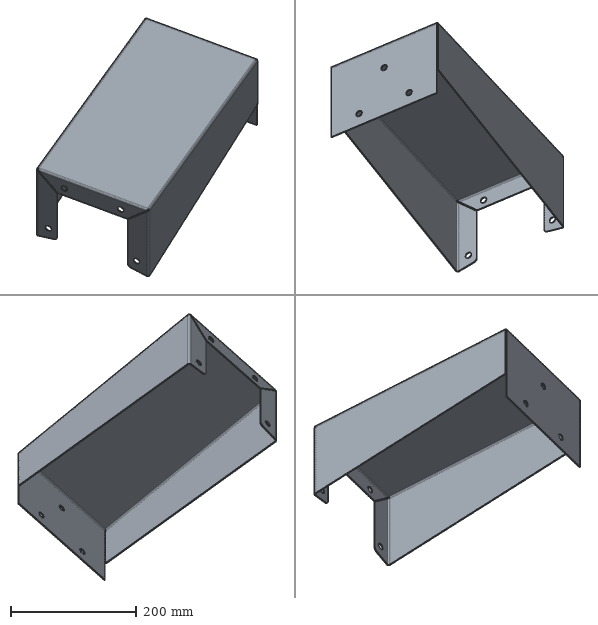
import cadquery as cq
import math

WIDTH = 203.0
LENGTH = 381.0
HEIGHT = 152.5
SHEET = 2.0
BEND_OUTER = 4.0
BEND_INNER = BEND_OUTER - SHEET
HALF_WIDTH = WIDTH / 2
FRONT = -LENGTH / 2
BACK = LENGTH / 2

WALL_END = BACK - 2.3
WALL_BACK_RISE = 50.5
BACK_PLATE_HALF_WIDTH = HALF_WIDTH - 2.1

FLANGE = 38.0
FLANGE_END_ANGLE = 11.0
FLANGE_CORNER_RADIUS = 7.5
MITER_GAP = 2.0

HOLE_DIAMETER = 11.0
LOW_HOLE_Z = 25.5
FLANGE_HOLES = [(-50.5, 130.3), (50.5, 130.3), (-79.2, LOW_HOLE_Z), (79.2, LOW_HOLE_Z)]
BACK_HOLES = [(-47.2, LOW_HOLE_Z), (47.2, LOW_HOLE_Z), (0, 101.7)]

MARGIN = 4.0


def box_between(x, y, z):
    """Box spanning the given (low, high) ranges."""
    size = [high - low for low, high in (x, y, z)]
    return cq.Workplane("XY").box(*size, centered=False).translate((x[0], y[0], z[0]))


def rounded_block(inset, radius):
    """Hood volume inset from the outside, open downward, with rounded bends."""
    half = HALF_WIDTH - inset
    bottom = -MARGIN if inset else 0
    block = box_between((-half, half), (FRONT + inset, BACK - inset), (bottom, HEIGHT - inset))
    return block.edges("(|Z and <Y) or >Z").fillet(radius)


def front_prism(points):
    """Prism with an XZ outline, reaching inward from ahead of the front face."""
    outline = cq.Workplane("XZ", origin=(0, FRONT - MARGIN, 0)).polyline(points).close()
    return outline.extrude(-(BEND_OUTER + MARGIN))


def front_opening():
    """Space between the front flanges, including their sloped lower ends."""
    inner = HALF_WIDTH - FLANGE
    bend_line = HALF_WIDTH - BEND_OUTER
    rise = (bend_line - inner) * math.tan(math.radians(FLANGE_END_ANGLE))
    top = HEIGHT - FLANGE
    tool = front_prism([
        (-bend_line, 0), (-inner, rise), (-inner, top),
        (inner, top), (inner, rise), (bend_line, 0),
    ])
    corners = cq.selectors.BoxSelector(
        (-inner - MARGIN, FRONT - 2 * MARGIN, rise - MARGIN / 2),
        (inner + MARGIN, FRONT + 2 * MARGIN, rise + MARGIN / 2),
    )
    return tool.edges("|Y").edges(corners).fillet(FLANGE_CORNER_RADIUS)


def miter_slit(side):
    """45 degree slit between the top flange and one side flange, open at the corner."""
    half_gap = MITER_GAP / math.sqrt(2)
    outer = HALF_WIDTH + MARGIN
    inner = HALF_WIDTH - FLANGE - MARGIN
    outer_z = HEIGHT + MARGIN
    inner_z = HEIGHT - FLANGE - MARGIN
    return front_prism([
        (side * outer, outer_z - half_gap), (side * outer, outer_z + half_gap),
        (side * inner, inner_z + half_gap), (side * inner, inner_z - half_gap),
    ])


def wall_taper():
    """Wedge that slopes the lower edge of both side walls."""
    outline = [(FRONT + BEND_OUTER, 0), (WALL_END, WALL_BACK_RISE), (WALL_END, 0)]
    wedge = cq.Workplane("YZ").polyline(outline).close()
    return wedge.extrude(HALF_WIDTH + MARGIN, both=True)


def back_strip():
    """Solid strip behind the walls, with the bend along its top back edge."""
    across = (-BACK_PLATE_HALF_WIDTH, BACK_PLATE_HALF_WIDTH)
    strip = box_between(across, (WALL_END - BEND_OUTER, BACK), (0, HEIGHT))
    strip = strip.edges(">Y and >Z").fillet(BEND_OUTER)
    return strip.intersect(box_between(across, (WALL_END, BACK), (0, HEIGHT)))


def holes(centres, y):
    """Round cutters along Y, passing through the sheet near the given y."""
    plane = cq.Workplane("XZ", origin=(0, y, 0))
    return plane.pushPoints(centres).circle(HOLE_DIAMETER / 2).extrude(SHEET + MARGIN, both=True)


hood = rounded_block(0, BEND_OUTER).cut(box_between((-WIDTH, WIDTH), (WALL_END, LENGTH), (0, HEIGHT)))
hood = hood.union(back_strip())
hood = hood.cut(rounded_block(SHEET, BEND_INNER))
hood = hood.cut(front_opening()).cut(wall_taper())
for side in (-1, 1):
    hood = hood.cut(miter_slit(side))
result = hood.cut(holes(FLANGE_HOLES, FRONT)).cut(holes(BACK_HOLES, BACK))